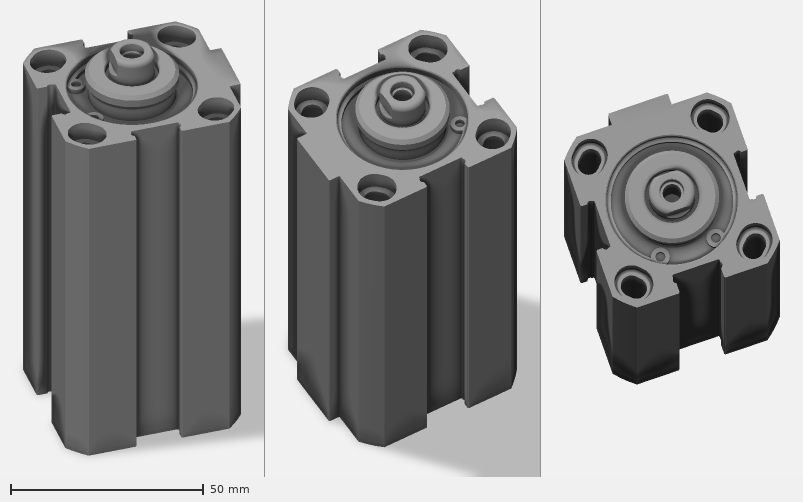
import cadquery as cq
HOUSING_X = 46.0
HOUSING_Y = 48.0
HOUSING_HEIGHT = 99.3
CORNER_CIRCLE = 59.9
TAB_WIDTH = 16.5
TAB_HEIGHT = 3.1
TAB_ROUND = 0.3

SLOT_MOUTH = 12.3
SLOT_POCKET = 13.0
SLOT_ROUND = 0.3
SIDE_LIP = 1.9
SIDE_SLOT_DEPTH = 3.9
FRONT_LIP = 2.9
FRONT_SLOT_DEPTH = 5.2
LIP_ROUND = 0.2
RELIEF_DIAMETER = 1.5
RELIEF_SHIFT = 0.5

MOUNT_X = 16.6
MOUNT_Y = 17.6
MOUNT_HOLE = 5.5
MOUNT_STRETCH = 1.4
MOUNT_BORE = 8.8
MOUNT_BORE_DEPTH = 5.2

RECESS_DIAMETER = 34.1
RECESS_MOUTH = 34.7
RING_GROOVE = 35.8

COVER_BOTTOM = 82.9
COVER_FACE = 95.8
NOSE_TOP = 104.4
NOSE_NECK = 23.0
NOSE_COLLAR = 24.5
NOSE_CHAMFER = 1.0
COLLAR_LOW = 101.3
COLLAR_UNDERCUT = 1.3
FOOT_DIAMETER = 23.9
COVER_BORE = 14.0
COVER_BORE_MOUTH = 14.7

RING_THICKNESS = 1.3
RING_INNER = 31.8
EAR_X = 7.6
EAR_Y = -12.8
EAR_DIAMETER = 4.9
EAR_HOLE = 2.5

TOP = 110.5
ROD_DIAMETER = COVER_BORE
ROD_SHOULDER = 102.8
SHOULDER_DIAMETER = 13.7
STEP_DIAMETER = 12.5
STEP_TOP = 103.2
TIP_DIAMETER = 12.0
TIP_ROUND = 1.3
FLAT_WIDTH = 10.1
FLAT_BOTTOM = 105.9
SOCKET_MOUTH = 6.7
SOCKET_DIAMETER = 6.3
SOCKET_DEPTH = 2.4
THREAD_DIAMETER = 4.9
THREAD_DEPTH = 15.5
THREAD_POINT = 0.4


def revolve(points):
    """Turn a closed (radius, z) outline about the Z axis."""
    return cq.Workplane("XZ").polyline(points).close().revolve(360, (0, 0), (0, 1))


def disc(diameter, bottom, top):
    return cq.Workplane("XY").workplane(offset=bottom).circle(diameter / 2).extrude(top - bottom)


def block(x_range, y_range):
    """Full-height block between two X values and two Y values."""
    x0, x1 = x_range
    y0, y1 = y_range
    return cq.Workplane("XY").box(x1 - x0, y1 - y0, HOUSING_HEIGHT, centered=False).translate((x0, y0, 0))


def slot_cutter(lip_depth, slot_depth, face_distance):
    """Lipped slot cut into the -Y side, whose face lies at Y = -face_distance."""
    face = -face_distance
    lip = face + lip_depth
    pocket = block((-SLOT_POCKET / 2, SLOT_POCKET / 2), (lip, face + slot_depth))
    pocket = pocket.edges("|Z and >Y").fillet(SLOT_ROUND)

    mouth_x = SLOT_MOUTH / 2
    mouth = (
        cq.Workplane("XY")
        .moveTo(-mouth_x, lip)
        .lineTo(-mouth_x, face + LIP_ROUND)
        .radiusArc((-mouth_x - LIP_ROUND, face), -LIP_ROUND)
        .lineTo(mouth_x + LIP_ROUND, face)
        .radiusArc((mouth_x, face + LIP_ROUND), -LIP_ROUND)
        .lineTo(mouth_x, lip)
        .close()
        .extrude(HOUSING_HEIGHT)
    )

    relief_x = SLOT_POCKET / 2 - RELIEF_SHIFT
    relief_y = lip + RELIEF_DIAMETER / 2
    reliefs = (
        cq.Workplane("XY")
        .pushPoints([(-relief_x, relief_y), (relief_x, relief_y)])
        .circle(RELIEF_DIAMETER / 2)
        .extrude(HOUSING_HEIGHT)
    )
    return pocket.union(mouth).union(reliefs)


def mount_cutter(side_x, side_y):
    """Oblong through hole with an oblong counterbore, stretched across the corner diagonal."""
    def oblong(diameter, bottom):
        return (
            cq.Workplane("XY")
            .workplane(offset=bottom)
            .center(side_x * MOUNT_X, side_y * MOUNT_Y)
            .slot2D(MOUNT_STRETCH + diameter, diameter, -45 * side_x * side_y)
            .extrude(HOUSING_HEIGHT - bottom)
        )

    hole = oblong(MOUNT_HOLE, 0)
    bore = oblong(MOUNT_BORE, HOUSING_HEIGHT - MOUNT_BORE_DEPTH)
    return hole.union(bore)


def make_housing():
    body = cq.Workplane("XY").box(HOUSING_X, HOUSING_Y, HOUSING_HEIGHT, centered=(True, True, False))
    body = body.intersect(disc(CORNER_CIRCLE, 0, HOUSING_HEIGHT))
    tab = block((-TAB_WIDTH / 2, TAB_WIDTH / 2), (0, HOUSING_Y / 2 + TAB_HEIGHT))
    body = body.union(tab.edges("|Z and >Y").fillet(TAB_ROUND))

    body = body.cut(slot_cutter(FRONT_LIP, FRONT_SLOT_DEPTH, HOUSING_Y / 2))
    side_slot = slot_cutter(SIDE_LIP, SIDE_SLOT_DEPTH, HOUSING_X / 2)
    for turn in (-90, 90):
        body = body.cut(side_slot.rotate((0, 0, 0), (0, 0, 1), turn))

    for side_x in (-1, 1):
        for side_y in (-1, 1):
            body = body.cut(mount_cutter(side_x, side_y))

    mouth_drop = (RECESS_MOUTH - RECESS_DIAMETER) / 2
    recess = revolve([
        (0, COVER_BOTTOM),
        (RECESS_DIAMETER / 2, COVER_BOTTOM),
        (RECESS_DIAMETER / 2, HOUSING_HEIGHT - mouth_drop),
        (RECESS_MOUTH / 2, HOUSING_HEIGHT),
        (0, HOUSING_HEIGHT),
    ])
    groove = disc(RING_GROOVE, COVER_FACE, COVER_FACE + RING_THICKNESS)
    return body.cut(recess).cut(groove)


def make_cover():
    collar = NOSE_COLLAR / 2
    neck = NOSE_NECK / 2
    foot = FOOT_DIAMETER / 2
    bore = COVER_BORE / 2
    bore_mouth = COVER_BORE_MOUTH / 2
    return revolve([
        (bore, COVER_BOTTOM),
        (RECESS_DIAMETER / 2, COVER_BOTTOM),
        (RECESS_DIAMETER / 2, COVER_FACE),
        (foot, COVER_FACE),
        (neck, COVER_FACE + foot - neck),
        (neck, COLLAR_LOW - COLLAR_UNDERCUT),
        (collar, COLLAR_LOW),
        (collar, NOSE_TOP - NOSE_CHAMFER),
        (collar - NOSE_CHAMFER, NOSE_TOP),
        (bore_mouth, NOSE_TOP),
        (bore, NOSE_TOP - (bore_mouth - bore)),
    ])


def make_ring():
    top = COVER_FACE + RING_THICKNESS
    ring = disc(RING_GROOVE, COVER_FACE, top).cut(disc(RING_INNER, COVER_FACE, top))

    opening = (
        cq.Workplane("XY")
        .workplane(offset=COVER_FACE)
        .polyline([(0, 0), (2 * EAR_X, 2 * EAR_Y), (-2 * EAR_X, 2 * EAR_Y)])
        .close()
        .extrude(RING_THICKNESS)
    )
    ring = ring.cut(opening)

    spots = [(-EAR_X, EAR_Y), (EAR_X, EAR_Y)]
    face = cq.Workplane("XY").workplane(offset=COVER_FACE).pushPoints(spots)
    ears = face.circle(EAR_DIAMETER / 2).extrude(RING_THICKNESS)
    holes = face.circle(EAR_HOLE / 2).extrude(RING_THICKNESS)
    ears = ears.intersect(disc(RING_GROOVE, COVER_FACE, top))
    return ring.union(ears).cut(holes)


def make_rod():
    rod = disc(ROD_DIAMETER, COVER_BOTTOM, ROD_SHOULDER)
    rod = rod.faces(">Z").chamfer((ROD_DIAMETER - SHOULDER_DIAMETER) / 2)
    step = disc(STEP_DIAMETER, ROD_SHOULDER, STEP_TOP)
    tip = disc(TIP_DIAMETER, ROD_SHOULDER, TOP).faces(">Z").edges().fillet(TIP_ROUND)

    half = FLAT_WIDTH / 2
    radius = TIP_DIAMETER / 2
    flat = (
        cq.Workplane("YZ")
        .polyline([(half, TOP), (half, FLAT_BOTTOM), (radius, FLAT_BOTTOM - radius + half), (radius, TOP)])
        .close()
        .extrude(radius, both=True)
    )
    tip = tip.cut(flat).cut(flat.mirror("XZ"))

    mouth = SOCKET_MOUTH / 2
    socket = SOCKET_DIAMETER / 2
    thread = THREAD_DIAMETER / 2
    hole = revolve([
        (0, TOP),
        (mouth, TOP),
        (socket, TOP - (mouth - socket)),
        (socket, TOP - SOCKET_DEPTH),
        (thread, TOP - SOCKET_DEPTH),
        (thread, TOP - THREAD_DEPTH),
        (0, TOP - THREAD_DEPTH - THREAD_POINT),
    ])
    return rod.union(step).union(tip).cut(hole)


housing = make_housing()
cover = make_cover()
ring = make_ring()
rod = make_rod()
result = cq.Compound.makeCompound([housing.val(), cover.val(), ring.val(), rod.val()])